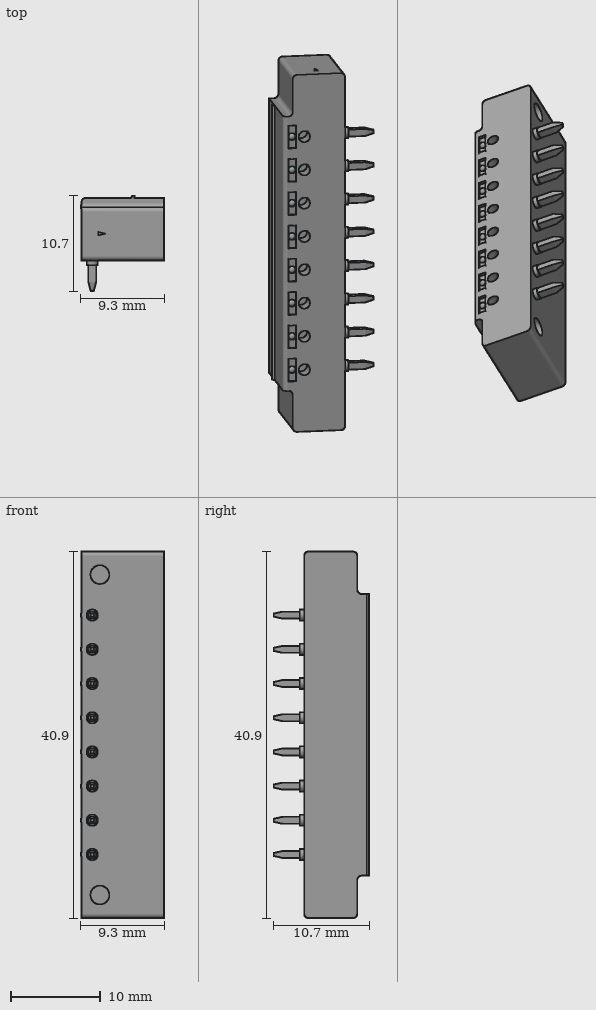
import cadquery as cq

POLE_COUNT = 8
PITCH = 3.81
HOUSING_DEPTH = 9.2
HOUSING_LENGTH = 40.87
SHOULDER_Y = 5.94
BACK_Y = 7.0
BACK_LENGTH = 31.4
EDGE_RADIUS = 0.5
SELECT_MARGIN = 0.1

RIB_TOP_Y = 7.25
RIB_X = 5.8
RIB_TOP_WIDTH = 0.26
RIB_SLOPE_RUN = 0.16

MOUNT_SPACING = 35.7
MOUNT_X = 2.05
MOUNT_DIAMETER = 2.1
MOUNT_DEPTH = 5.0

PIN_X = 1.2
PIN_LENGTH = 3.4
PIN_WIDTH_X = 0.9
PIN_WIDTH_Z = 0.8
PIN_TIP_LENGTH = 1.0
PIN_TIP_WIDTH = 0.35
COLLAR_DIAMETER = 1.27
COLLAR_LENGTH = 0.5

POCKET_Y_MIN = 5.55
POCKET_Y_MAX = 6.4
POCKET_LENGTH = 2.6
POCKET_DEPTH = 0.3
STUD_PROTRUSION = 0.1
STUD_RADIUS = POCKET_DEPTH + STUD_PROTRUSION
STUD_Y = (POCKET_Y_MIN + POCKET_Y_MAX) / 2
TEST_HOLE_DIAMETER = 1.27
TEST_HOLE_DEPTH = 2.0
TEST_HOLE_Y = 4.62

MARK_X = 1.85
MARK_Y = 3.0
MARK_LENGTH = 0.8
MARK_WIDTH = 0.4
MARK_DEPTH = 0.1

HALF_LENGTH = HOUSING_LENGTH / 2
HALF_BACK = BACK_LENGTH / 2
POLE_POSITIONS = [(i - (POLE_COUNT - 1) / 2) * PITCH for i in range(POLE_COUNT)]


def block(x_range, y_range, z_range):
    """Box spanning the given coordinate ranges."""
    sizes = [high - low for low, high in (x_range, y_range, z_range)]
    corner = (x_range[0], y_range[0], z_range[0])
    return cq.Workplane("XY").box(*sizes, centered=False).translate(corner)


def cylinder_x(diameter, x_start, x_end, y, z):
    """Cylinder along X."""
    plane = cq.Workplane("YZ", origin=(x_start, y, z))
    return plane.circle(diameter / 2).extrude(x_end - x_start)


def cylinder_y(diameter, y_start, y_end, x, z):
    """Cylinder along Y."""
    base = cq.Vector(x, y_start, z)
    solid = cq.Solid.makeCylinder(diameter / 2, y_end - y_start, base, cq.Vector(0, 1, 0))
    return cq.Workplane(obj=solid)


def make_housing():
    """Stepped block with rounded lengthwise and end edges."""
    profile = [
        (0, -HALF_LENGTH),
        (SHOULDER_Y, -HALF_LENGTH),
        (SHOULDER_Y, -HALF_BACK),
        (BACK_Y, -HALF_BACK),
        (BACK_Y, HALF_BACK),
        (SHOULDER_Y, HALF_BACK),
        (SHOULDER_Y, HALF_LENGTH),
        (0, HALF_LENGTH),
    ]
    housing = cq.Workplane("YZ").polyline(profile).close().extrude(HOUSING_DEPTH)
    ends = housing.edges("|X").edges("<Z or >Z")
    step_low = (-SELECT_MARGIN, SHOULDER_Y - SELECT_MARGIN, -HALF_BACK - SELECT_MARGIN)
    step_high = (HOUSING_DEPTH + SELECT_MARGIN, SHOULDER_Y + SELECT_MARGIN, HALF_BACK + SELECT_MARGIN)
    step_box = cq.selectors.BoxSelector(step_low, step_high)
    steps = housing.edges("|X").edges(step_box)
    housing = ends.add(steps).fillet(EDGE_RADIUS)
    return housing.faces(">Y").edges("<X").fillet(EDGE_RADIUS)


def make_rib():
    """Rib with one sloping flank."""
    half = RIB_TOP_WIDTH / 2
    profile = [
        (RIB_X - half - RIB_SLOPE_RUN, BACK_Y),
        (RIB_X + half, BACK_Y),
        (RIB_X + half, RIB_TOP_Y),
        (RIB_X - half, RIB_TOP_Y),
    ]
    plane = cq.Workplane("XY", origin=(0, 0, -HALF_BACK))
    return plane.polyline(profile).close().extrude(BACK_LENGTH)


def make_stud(z):
    """Ball centred on the pocket floor, so that half of it shows as a dome."""
    return cq.Workplane("XY").sphere(STUD_RADIUS).translate((POCKET_DEPTH, STUD_Y, z))


def make_pin(z):
    """Round collar, rectangular shank and tapered tip."""
    shank_end = PIN_TIP_LENGTH - PIN_LENGTH
    collar = cylinder_y(COLLAR_DIAMETER, -COLLAR_LENGTH, 0, PIN_X, z)
    plane = cq.Workplane("XZ", origin=(PIN_X, 0, z))
    shank = plane.rect(PIN_WIDTH_X, PIN_WIDTH_Z).extrude(-shank_end)
    tip_plane = cq.Workplane("XZ", origin=(PIN_X, shank_end, z))
    tip = (
        tip_plane.rect(PIN_WIDTH_X, PIN_WIDTH_Z)
        .workplane(offset=PIN_TIP_LENGTH)
        .rect(PIN_TIP_WIDTH, PIN_TIP_WIDTH)
        .loft()
    )
    return collar.union(shank).union(tip)


def make_mark():
    """Triangle pointing toward +X, sunk into the +Z end."""
    half = MARK_WIDTH / 2
    plane = cq.Workplane("XY", origin=(MARK_X, MARK_Y, HALF_LENGTH - MARK_DEPTH))
    return plane.polyline([(0, -half), (MARK_LENGTH, 0), (0, half)]).close().extrude(MARK_DEPTH)


result = make_housing().union(make_rib()).cut(make_mark())

for side in (-1, 1):
    result = result.cut(cylinder_y(MOUNT_DIAMETER, 0, MOUNT_DEPTH, MOUNT_X, side * MOUNT_SPACING / 2))

for pole_z in POLE_POSITIONS:
    pocket_z = (pole_z - POCKET_LENGTH / 2, pole_z + POCKET_LENGTH / 2)
    result = result.cut(block((0, POCKET_DEPTH), (POCKET_Y_MIN, POCKET_Y_MAX), pocket_z))
    result = result.cut(cylinder_x(TEST_HOLE_DIAMETER, 0, TEST_HOLE_DEPTH, TEST_HOLE_Y, pole_z))
    result = result.union(make_stud(pole_z))
    result = result.union(make_pin(pole_z))